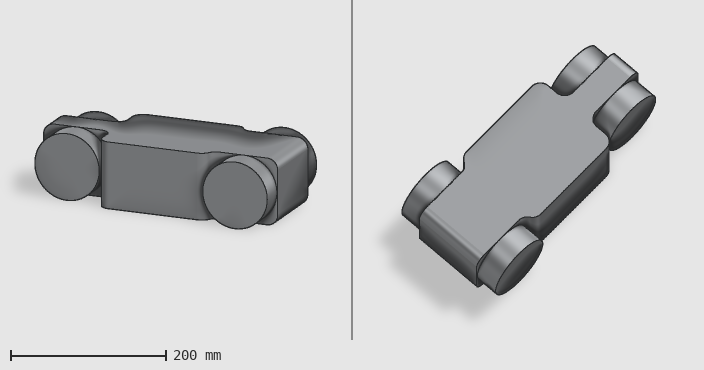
import cadquery as cq
import math

length = 340.0
height = 90.0
wheel_diameter = 90.0
rear_wheel_span = 164.0
front_wheel_span = 104.0
neck_width = 40.0
block_width = 130.0
tail_width = 100.0
block_start = 95.0
shoulder_start = 234.0
corner_radius = 15.0
axle_inset = 46.2

front_x = -length / 2
rear_x = length / 2
block_x = front_x + block_start
shoulder_x = front_x + shoulder_start
neck_y = neck_width / 2
block_y = block_width / 2
tail_y = tail_width / 2

shoulder_drop = (block_y - tail_y) / 2
shoulder_angle = math.acos(1 - shoulder_drop / corner_radius)
shoulder_run = corner_radius * math.sin(shoulder_angle)
shoulder_mid_run = corner_radius * math.sin(shoulder_angle / 2)
shoulder_mid_drop = corner_radius * (1 - math.cos(shoulder_angle / 2))
shoulder_end_x = shoulder_x + 2 * shoulder_run


def half_body():
    """Half of the body on the +Y side, with its plan outline closed along the X axis."""
    arc_offset = corner_radius * math.sqrt(0.5)
    neck_centre_y = neck_y + corner_radius
    block_centre_x = block_x + corner_radius
    block_centre_y = block_y - corner_radius
    return (
        cq.Workplane("XY")
        .workplane(offset=-height / 2)
        .moveTo(front_x, 0)
        .lineTo(front_x, neck_y)
        .lineTo(block_x - corner_radius, neck_y)
        .threePointArc(
            (block_x - corner_radius + arc_offset, neck_centre_y - arc_offset),
            (block_x, neck_centre_y),
        )
        .lineTo(block_x, block_centre_y)
        .threePointArc(
            (block_centre_x - arc_offset, block_centre_y + arc_offset),
            (block_centre_x, block_y),
        )
        .lineTo(shoulder_x, block_y)
        .threePointArc(
            (shoulder_x + shoulder_mid_run, block_y - shoulder_mid_drop),
            (shoulder_x + shoulder_run, block_y - shoulder_drop),
        )
        .threePointArc(
            (shoulder_end_x - shoulder_mid_run, tail_y + shoulder_mid_drop),
            (shoulder_end_x, tail_y),
        )
        .lineTo(rear_x, tail_y)
        .lineTo(rear_x, 0)
        .close()
        .extrude(height)
    )


def wheel_pair(axle_x, wheel_span):
    """Two wheels on one axle, joined through the body between them."""
    wheels = cq.Workplane("XZ").center(axle_x, 0).circle(wheel_diameter / 2)
    return wheels.extrude(wheel_span / 2, both=True)


half = half_body()
body = half.union(half.mirror("XZ")).clean()
body = body.edges("|Y").edges("<X or >X").fillet(corner_radius)
front_wheels = wheel_pair(front_x + axle_inset, front_wheel_span)
rear_wheels = wheel_pair(rear_x - axle_inset, rear_wheel_span)

result = body.union(front_wheels).union(rear_wheels)